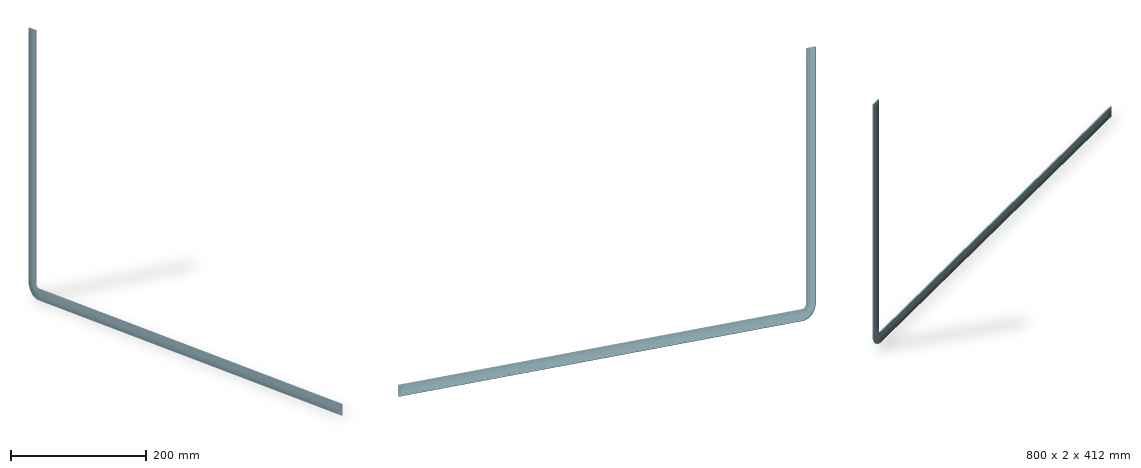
import cadquery as cq

length = 800.0
height = 412.0
thickness = 2.0
strip_width = 17.5
inner_radius = 7.0
outer_radius = inner_radius + strip_width

strip = (
    cq.Workplane("XZ")
    .moveTo(0, 0)
    .lineTo(length, 0)
    .lineTo(length, strip_width)
    .lineTo(strip_width, strip_width)
    .lineTo(strip_width, height)
    .lineTo(0, height)
    .close()
    .extrude(thickness)
)

outer_corner = cq.selectors.NearestToPointSelector((0, -thickness / 2, 0))
inner_corner = cq.selectors.NearestToPointSelector((strip_width, -thickness / 2, strip_width))
strip = strip.edges("|Y").edges(outer_corner).fillet(outer_radius)
result = strip.edges("|Y").edges(inner_corner).fillet(inner_radius)